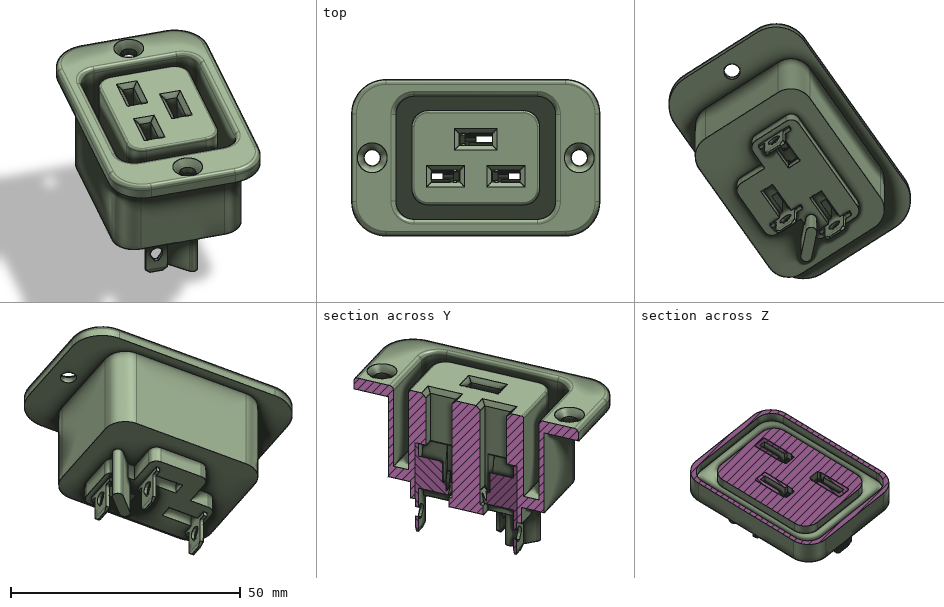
import cadquery as cq
import math


flange_length, flange_width, flange_thickness = 54.0, 34.0, 3.0
flange_corner_radius = 7.5
rim_radius = 1.0

screw_spacing = 45.05
screw_diameter = 3.5
countersink_diameter = 6.5
countersink_angle = 90.0

body_length, body_width, body_bottom = 37.5, 29.05, -23.0
body_corner_radius = 5.0
recess_length, recess_width, recess_depth = 34.8, 26.8, 20.0
recess_corner_radius = body_corner_radius - rim_radius
island_length, island_width = 27.75, 20.5
island_corner_radius = 3.5
island_rim_radius = 0.5

base_bottom = -27.0
base_half_width = 10.05
base_length, stem_length = 26.8, 14.05
base_step_y = 1.85
base_corner_radius = 2.0

post_bottom = -35.6
post_radius = 1.2
post_start = (8.4, 0.0)
post_run, post_angle = 4.0, 45.0

row_y = 4.0
outer_blade_x = 11.75
centre_blade_x = 4.65
sheet = 0.8
blade_width, blade_bottom = 4.85, -35.0
tip_length, tip_width, tip_thickness = 0.9, 2.85, 0.45
shoulder_width, shoulder_bottom = 8.0, -28.0
shoulder_fillet = 0.3
eye_radius, eye_z = 1.4, -29.95
eye_bottom, eye_flat = -31.95, 0.85
contact_top = -12.95
leaf_gap = 1.4
leaf_length = 6.15
lead_in, lead_in_height = 0.7, 4.3
contact_width = leaf_gap + 2 * sheet
trough_start, trough_end = 4.65, 6.95
trough_top, trough_floor, trough_bottom = -19.45, -23.35, -24.15
trough_floor_width = 0.7
stop_width, stop_top = 1.95, -20.8
stop_foot, stop_tip, stop_edge = 0.55, 8.2, 0.1

chamber_end = 7.6
slot_width = 2.6
slot_bottom = -24.55
slot_chamfer = 1.0
slot_chamfer_depth = 1.0
outer_slot_length, centre_slot_length = 6.2, 7.25
outer_slot_x = 6.55

pick_margin = 0.05

sockets = [
    (-outer_blade_x, -row_y, 1, -outer_slot_x, outer_slot_length),
    (outer_blade_x, -row_y, -1, outer_slot_x, outer_slot_length),
    (centre_blade_x, row_y, -1, 0.0, centre_slot_length),
]


def block(x_range, y_range, z_range):
    """Box between the given limits; each pair may be in either order."""
    sides = [abs(b - a) for a, b in (x_range, y_range, z_range)]
    middle = tuple((a + b) / 2 for a, b in (x_range, y_range, z_range))
    return cq.Workplane("XY").box(*sides).translate(middle)


def rounded_block(length, width, top, bottom, radius):
    """Centred block with rounded vertical edges."""
    solid = block((-length / 2, length / 2), (-width / 2, width / 2), (bottom, top))
    return solid.edges("|Z").fillet(radius)


def make_shell():
    """Flange and body, with the recess and the island standing in it."""
    flange = rounded_block(flange_length, flange_width, 0, -flange_thickness, flange_corner_radius)
    flange = flange.faces(">Z").edges().fillet(rim_radius)
    body = rounded_block(body_length, body_width, -rim_radius, body_bottom, body_corner_radius)
    recess = rounded_block(recess_length, recess_width, 0, -recess_depth, recess_corner_radius)
    shell = flange.union(body).cut(recess)
    inside_rim = cq.selectors.BoxSelector(
        (-body_length / 2, -body_width / 2, -pick_margin), (body_length / 2, body_width / 2, pick_margin)
    )
    shell = shell.edges(inside_rim).fillet(rim_radius)
    island = rounded_block(island_length, island_width, 0, body_bottom, island_corner_radius)
    island = island.faces(">Z").edges().fillet(island_rim_radius)
    return shell.union(island)


def make_base():
    """T-shaped step below the body."""
    bar = block(
        (-base_length / 2, base_length / 2), (-base_half_width, base_step_y), (base_bottom, body_bottom)
    )
    stem = block((-stem_length / 2, stem_length / 2), (0, base_half_width), (base_bottom, body_bottom))
    stem = stem.edges("|Z and >Y").fillet(base_corner_radius)
    return bar.edges("|Z").fillet(base_corner_radius).union(stem)


def make_post():
    """Round-ended bar running diagonally between +X and +Y."""
    centre = [start + post_run / 2 for start in post_start]
    total_length = post_run * math.sqrt(2) + 2 * post_radius
    return (
        cq.Workplane("XY", origin=(*centre, post_bottom))
        .slot2D(total_length, 2 * post_radius, post_angle)
        .extrude(body_bottom - post_bottom)
    )


def make_slot(slot_x, y, length):
    """Socket slot with a chamfered mouth, down to a ledge inside the base."""
    slot = block(
        (slot_x - length / 2, slot_x + length / 2), (y - slot_width / 2, y + slot_width / 2), (slot_bottom, 0)
    )
    mouth = (
        cq.Workplane("XY", origin=(slot_x, y, 0))
        .rect(length + 2 * slot_chamfer, slot_width + 2 * slot_chamfer)
        .workplane(offset=-slot_chamfer_depth)
        .rect(length, slot_width)
        .loft(ruled=True)
    )
    return slot.union(mouth)


def make_chamber(blade_x, y, reach):
    """Opening from below that takes the spring, with a wider slit for the shoulders."""
    spring = block(
        (blade_x - reach * sheet / 2, blade_x + reach * chamber_end),
        (y - contact_width / 2, y + contact_width / 2),
        (base_bottom, contact_top),
    )
    slit = block(
        (blade_x - sheet / 2, blade_x + sheet / 2),
        (y - shoulder_width / 2, y + shoulder_width / 2),
        (base_bottom, body_bottom),
    )
    return spring.union(slit)


def make_housing():
    housing = make_shell().union(make_base()).union(make_post())
    housing = (
        housing.faces(">Z")
        .workplane(origin=(0, 0, 0))
        .rarray(screw_spacing, screw_spacing, 2, 1)
        .cskHole(screw_diameter, countersink_diameter, countersink_angle, flange_thickness)
    )
    for blade_x, y, reach, slot_x, length in sockets:
        housing = housing.cut(make_slot(slot_x, y, length)).cut(make_chamber(blade_x, y, reach))
    return housing


def make_blade_strip():
    """Straight part of the blade, with an end that narrows in width and thickness."""
    straight = block(
        (-sheet / 2, sheet / 2), (-blade_width / 2, blade_width / 2), (blade_bottom + tip_length, body_bottom)
    )
    tip = (
        cq.Workplane("XY", origin=(0, 0, blade_bottom))
        .rect(tip_thickness, tip_width)
        .workplane(offset=tip_length)
        .rect(sheet, blade_width)
        .loft(ruled=True)
    )
    return straight.union(tip)


def make_blade():
    """Blade with an eye, shoulders in the base, and a web up to the top of the spring."""
    shoulder = block(
        (-sheet / 2, sheet / 2), (-shoulder_width / 2, shoulder_width / 2), (shoulder_bottom, body_bottom)
    )
    web = block(
        (-sheet / 2, sheet / 2), (-contact_width / 2, contact_width / 2), (body_bottom, contact_top)
    )
    blade = make_blade_strip().union(shoulder).union(web)
    roots = cq.selectors.BoxSelector(
        (-sheet, -blade_width / 2 - pick_margin, shoulder_bottom - pick_margin),
        (sheet, blade_width / 2 + pick_margin, shoulder_bottom + pick_margin),
    )
    return blade.edges("|X").edges(roots).fillet(shoulder_fillet).cut(make_eye())


def make_eye():
    """Round eye whose sides run down, tangent, to a short flat."""
    half_flat = eye_flat / 2
    drop = eye_z - eye_bottom
    to_corner = math.atan2(-drop, half_flat)
    tangent = to_corner + math.acos(eye_radius / math.hypot(half_flat, drop))
    side_y = eye_radius * math.cos(tangent)
    side_z = eye_z + eye_radius * math.sin(tangent)
    return (
        cq.Workplane("YZ", origin=(-sheet, 0, 0))
        .moveTo(half_flat, eye_bottom)
        .lineTo(side_y, side_z)
        .threePointArc((0, eye_z + eye_radius), (-side_y, side_z))
        .lineTo(-half_flat, eye_bottom)
        .close()
        .extrude(2 * sheet)
    )


def make_spring():
    """Two leaves with lead-ins, joined by a trough that carries a leaning end stop."""
    inner, outer = leaf_gap / 2, contact_width / 2
    leaf = (
        cq.Workplane("YZ")
        .polyline([
            (inner, trough_bottom), (outer, trough_bottom), (outer, contact_top),
            (inner + lead_in, contact_top), (inner, contact_top - lead_in_height),
        ])
        .close()
        .extrude(leaf_length)
    )
    trough = (
        cq.Workplane("YZ", origin=(trough_start, 0, 0))
        .polyline([
            (-outer, trough_bottom), (outer, trough_bottom), (outer, trough_top),
            (slot_width / 2, trough_top), (trough_floor_width / 2, trough_floor),
            (-trough_floor_width / 2, trough_floor), (-slot_width / 2, trough_top), (-outer, trough_top),
        ])
        .close()
        .extrude(trough_end - trough_start)
    )
    stop = (
        cq.Workplane("XZ", origin=(0, stop_width / 2, 0))
        .polyline([
            (trough_end, trough_bottom), (trough_end + stop_foot, trough_bottom),
            (stop_tip, stop_top), (stop_tip - stop_edge, stop_top), (trough_end, trough_floor),
        ])
        .close()
        .extrude(stop_width)
    )
    return leaf.union(leaf.mirror("XZ")).union(trough).union(stop)


def make_contact(blade_x, y, reach):
    contact = make_blade().union(make_spring())
    if reach < 0:
        contact = contact.mirror("YZ")
    return contact.translate((blade_x, y, 0))


housing = make_housing()
contacts = [make_contact(blade_x, y, reach) for blade_x, y, reach, _, _ in sockets]

result = cq.Compound.makeCompound([housing.val(), *[contact.val() for contact in contacts]])